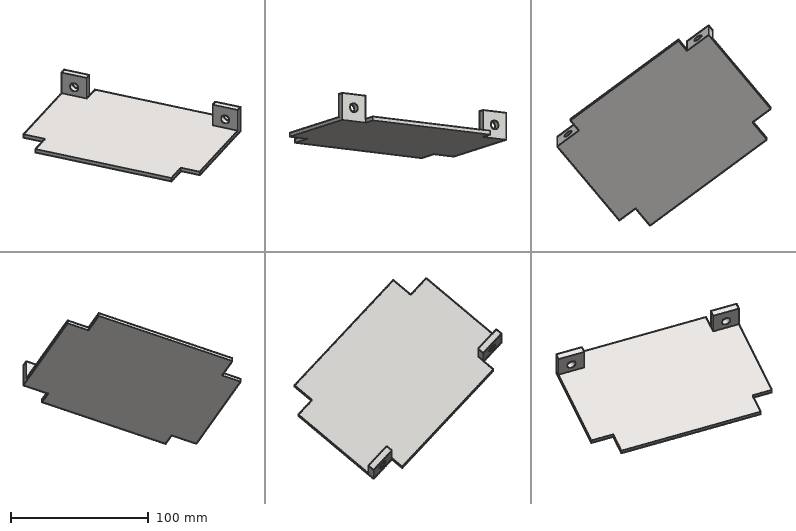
import cadquery as cq

length = 140.0
width = 100.0
height = 20.0

plate_thickness = 3.0
back_notch_depth = 10.0
front_notch_depth = 17.0
front_left_notch_width = 17.0
front_right_notch_width = 15.0

tab_width = 20.0
tab_thickness = 5.0
hole_diameter = 6.5

half_length = length / 2
half_width = width / 2
tab_back_y = half_width - back_notch_depth


def make_plate():
    """Flat plate, centred in X and Y, with all four corners notched."""
    front_shoulder_y = -half_width + front_notch_depth
    front_left_x = -half_length + front_left_notch_width
    front_right_x = half_length - front_right_notch_width
    back_x = half_length - tab_width
    outline = [
        (front_left_x, -half_width),
        (front_right_x, -half_width),
        (front_right_x, front_shoulder_y),
        (half_length, front_shoulder_y),
        (half_length, tab_back_y),
        (back_x, tab_back_y),
        (back_x, half_width),
        (-back_x, half_width),
        (-back_x, tab_back_y),
        (-half_length, tab_back_y),
        (-half_length, front_shoulder_y),
        (front_left_x, front_shoulder_y),
    ]
    return cq.Workplane("XY").polyline(outline).close().extrude(plate_thickness)


def make_tab(center_x):
    """Upright tab with a through hole at the middle of its full height."""
    return (
        cq.Workplane("XZ", origin=(center_x, tab_back_y, height / 2))
        .rect(tab_width, height)
        .circle(hole_diameter / 2)
        .extrude(tab_thickness)
    )


result = make_plate()
for side in (-1, 1):
    result = result.union(make_tab(side * (half_length - tab_width / 2)))